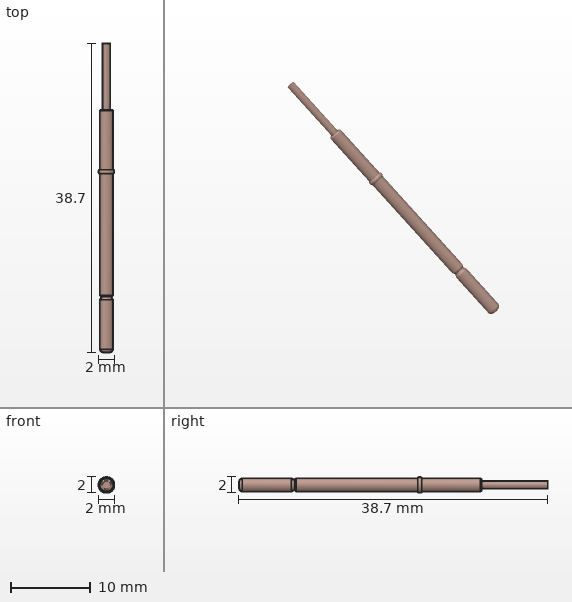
import cadquery as cq
import math

total_length = 38.7
body_radius = 0.85
wire_radius = 0.5
wire_length = 8.32
body_length = total_length - wire_length
shoulder_chamfer = 0.135

nose_flat_radius = 0.4
nose_length = 0.43
nose_bulge = 0.11

groove_front = 6.58
groove_width = 0.6
groove_rear = groove_front + groove_width
groove_flank_length = 0.25
groove_bottom = groove_rear - groove_flank_length
groove_depth = 0.2
groove_sag = 0.05
groove_arc_middle = (
    body_radius - groove_depth / 2 - groove_sag,
    (groove_front + groove_bottom) / 2,
)

ring_radius = 1.0
ring_width = 0.55
ring_front = 22.35
ring_rear = ring_front + ring_width
ring_center = ring_front + ring_width / 2

nose_rise = body_radius - nose_flat_radius
nose_chord = math.hypot(nose_rise, nose_length)
nose_arc_middle = (
    (nose_flat_radius + body_radius) / 2 + nose_bulge * nose_length / nose_chord,
    nose_length / 2 - nose_bulge * nose_rise / nose_chord,
)

half_section = (
    cq.Workplane("XY")
    .moveTo(0, 0)
    .lineTo(nose_flat_radius, 0)
    .threePointArc(nose_arc_middle, (body_radius, nose_length))
    .lineTo(body_radius, groove_front)
    .threePointArc(groove_arc_middle, (body_radius - groove_depth, groove_bottom))
    .lineTo(body_radius, groove_rear)
    .lineTo(body_radius, ring_front)
    .threePointArc((ring_radius, ring_center), (body_radius, ring_rear))
    .lineTo(body_radius, body_length - shoulder_chamfer)
    .lineTo(body_radius - shoulder_chamfer, body_length)
    .lineTo(wire_radius, body_length)
    .lineTo(wire_radius, total_length)
    .lineTo(0, total_length)
    .close()
)

result = half_section.revolve(360, (0, 0, 0), (0, 1, 0))